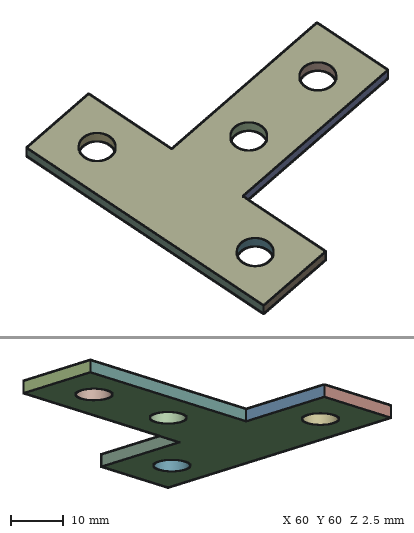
import cadquery as cq

length = 60.0
thickness = 2.5
arm_width = 18.0

hole_diameter = 7.0
end_distance = 10.0
stem_hole_y = length / 2


def centred_bar(size_x, size_y):
    """Flat bar centred on X, with its front edge at Y = 0."""
    return cq.Workplane("XY").box(size_x, size_y, thickness, centered=(True, False, False))


crossbar = centred_bar(length, arm_width)
stem = centred_bar(arm_width, length)
plate = crossbar.union(stem).clean()

crossbar_hole_x = length / 2 - end_distance
hole_centres = [
    (-crossbar_hole_x, arm_width / 2),
    (crossbar_hole_x, arm_width / 2),
    (0, stem_hole_y),
    (0, length - end_distance),
]
holes = cq.Workplane("XY").pushPoints(hole_centres).circle(hole_diameter / 2).extrude(thickness)

result = plate.cut(holes)